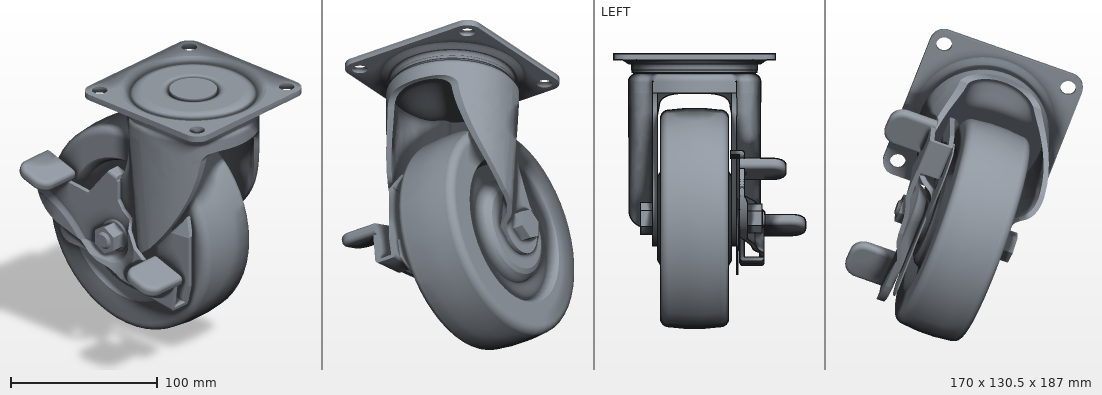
import cadquery as cq
import math


TOTAL_HEIGHT = 187.0
AXLE_OFFSET = 40.0
WHEEL_RADIUS = 75.0
AXLE_X = -AXLE_OFFSET
AXLE_Z = WHEEL_RADIUS
BOLT_RADIUS = 6.2

PLATE_SIDE = 110.0
PLATE_THICKNESS = 4.3
PLATE_CORNER = 10.0
HOLE_SPACING = 90.0
HOLE_DIAMETER = 10.7
DISH_TOP_RADIUS = 49.0
DISH_BOTTOM_RADIUS = 44.5
DISH_DROP = 2.8
RACE_RADIUS = 42.8
RACE_LIP_RADIUS = 42.5
RACE_LIP_TOP = 176.0
RACE_NECK_RADIUS = 41.5
RACE_NECK_TOP = 174.3
GROOVE_DEPTH = 3.5
OUTER_GROOVE_RIM_RADIUS = 49.7
OUTER_GROOVE_EDGE_RADIUS = 47.5
OUTER_GROOVE_EDGE_DROP = 0.7
OUTER_GROOVE_FLOOR_RADIUS = 43.2
DOME_FLAT_RADIUS = 35.3
INNER_GROOVE_RIM_RADIUS = 23.0
BUTTON_RADIUS = 16.3

WHEEL_HALF_WIDTH = 23.2
TREAD_HALF_WIDTH = 17.2
TREAD_EDGE_RADIUS = 73.7
FACE_RADIUS = 67.7
RECESS_RIM_RADIUS = 52.0
RECESS_FLOOR_RADIUS = 47.7
RECESS_DEPTH = 7.1
RECESS_LIP = 1.0
HUB_BASE_RADIUS = 36.0
HUB_NECK_RADIUS = 31.8
HUB_END_RADIUS = 28.5
HUB_HALF_WIDTH = 25.0

SHEET = 3.5
FORK_RADIUS = 45.0
CROWN_TOP = 173.3
CROWN_BOTTOM = 160.0
CROWN_EDGE_FILLET = 5.6
CROWN_FRONT_ANGLE = 36.0
LEG_INNER_Y = HUB_HALF_WIDTH
LEG_OUTER_Y = LEG_INNER_Y + SHEET
LEG_EYE_RADIUS = 18.7
FORK_FRONT_X = -67.3
FORK_TIP = (0.0, 81.3)
SECTION_LOW_Z = 46.7
BEND_START_LOW_X = -23.7
BEND_START_HIGH_X = -35.2
CREST_LOW_X = 3.7
CREST_HIGH_X = -8.6
BEND_KNEE_RUN = 0.37
BEND_KNEE_RISE = 0.55

SPRING_SHEET = 1.0
SPRING_Y = -LEG_OUTER_Y
DIMPLE_X = -86.0
DIMPLE_Z = 61.3
DIMPLE_RADIUS = 9.5
DIMPLE_HEIGHT = 1.0

LEVER_SHEET = 3.2
LEVER_INNER_Y = -30.7
LEVER_OUTER_Y = LEVER_INNER_Y - LEVER_SHEET
WALL_OUTER_Y = -47.3
LOW_CORNER = (24.0, 45.0)
WALL_RIGHT_X = 26.7
JOGGLE_START_RADIUS = 12.5
JOGGLE_BEND_RADIUS = 17.8
JOGGLE_END_RADIUS = 28.6
JOGGLE_BEND_RISE = 7.3
EMBOSS_HEIGHT = 2.0
EMBOSS_BEVEL = 4.1
WEB_BEND = 2.5
TOOTH_BEND = 2.5
TOOTH_END_Y = -24.3
FRONT_PEDAL_CENTER = (-94.8, 108.6)
FRONT_PEDAL_END_Y = -62.3
REAR_PEDAL_CENTER = (16.5, 70.5)
REAR_PEDAL_END_Y = -75.5
PEDAL_LENGTH = 28.2
PEDAL_THICKNESS = 7.9
PEDAL_TILT = 18.0
PEDAL_CORNER = 10.1
PEDAL_ROUND = 3.0

HEAD_CORNER_RADIUS = 10.8
HEAD_HEIGHT = 8.0
NUT_CORNER_RADIUS = 10.0
WASHER_RADIUS = 11.2
WASHER_THICKNESS = 2.0
NUT_END_Y = -45.8
BOLT_END_Y = -47.7
BOLT_END_CHAMFER = 1.7


def side_plane(y):
    """Workplane facing -Y at the given Y; its local axes are X and Z."""
    return cq.Workplane("XZ", origin=(0, y, 0))


def slab(points, y_start, y_end):
    """Straight-sided sheet outlined in X and Z between two Y positions (y_end < y_start)."""
    return side_plane(y_start).polyline(points).close().extrude(y_start - y_end)


def axle_cylinder(radius, y_start, y_end):
    return side_plane(y_start).center(AXLE_X, AXLE_Z).circle(radius).extrude(y_start - y_end)


def axle_hexagon(corner_radius, y_start, y_end):
    angles = [i * math.pi / 3 for i in range(6)]
    corners = [(AXLE_X + corner_radius * math.sin(a), AXLE_Z + corner_radius * math.cos(a)) for a in angles]
    return slab(corners, y_start, y_end)


def spin_about_axle(profile):
    """Revolve a closed (radius, Y) profile about the axle."""
    return profile.revolve(360, (0, 0, 0), (0, 1, 0)).translate((AXLE_X, 0, AXLE_Z))


def axle_bore():
    return axle_cylinder(BOLT_RADIUS, WHEEL_RADIUS, -WHEEL_RADIUS)


def make_plate():
    top = TOTAL_HEIGHT
    under = top - PLATE_THICKNESS
    dish_bottom = under - DISH_DROP
    sheet = (
        cq.Workplane("XY", origin=(0, 0, under))
        .rect(PLATE_SIDE, PLATE_SIDE)
        .extrude(PLATE_THICKNESS)
        .edges("|Z")
        .fillet(PLATE_CORNER)
        .faces(">Z")
        .workplane()
        .rect(HOLE_SPACING, HOLE_SPACING, forConstruction=True)
        .vertices()
        .hole(HOLE_DIAMETER)
    )
    race = (
        cq.Workplane("XZ")
        .polyline(
            [
                (0, CROWN_TOP),
                (RACE_NECK_RADIUS, CROWN_TOP),
                (RACE_NECK_RADIUS, RACE_NECK_TOP),
                (RACE_LIP_RADIUS, RACE_NECK_TOP),
                (RACE_LIP_RADIUS, RACE_LIP_TOP),
                (RACE_RADIUS, RACE_LIP_TOP),
                (RACE_RADIUS, dish_bottom),
                (DISH_BOTTOM_RADIUS, dish_bottom),
                (DISH_TOP_RADIUS, under),
                (0, under),
            ]
        )
        .close()
        .revolve(360, (0, 0, 0), (0, 1, 0))
    )
    return sheet.union(race).cut(plate_grooves())


def plate_grooves():
    """Two ring grooves pressed into the top: a wide outer one and one round the centre button."""
    top = TOTAL_HEIGHT
    floor = top - GROOVE_DEPTH
    outer = (
        cq.Workplane("XZ")
        .moveTo(OUTER_GROOVE_RIM_RADIUS, top)
        .lineTo(OUTER_GROOVE_EDGE_RADIUS, top - OUTER_GROOVE_EDGE_DROP)
        .lineTo(OUTER_GROOVE_FLOOR_RADIUS, floor)
        .threePointArc((39.3, top - 1.0), (DOME_FLAT_RADIUS, top))
        .close()
        .revolve(360, (0, 0, 0), (0, 1, 0))
    )
    inner = (
        cq.Workplane("XZ")
        .moveTo(INNER_GROOVE_RIM_RADIUS, top)
        .threePointArc((18.3, top - 1.3), (BUTTON_RADIUS, floor))
        .lineTo(BUTTON_RADIUS, top)
        .close()
        .revolve(360, (0, 0, 0), (0, 1, 0))
    )
    return outer.union(inner)


def make_wheel():
    recess_floor = WHEEL_HALF_WIDTH - RECESS_DEPTH
    shoulder = (72.2, 21.3)
    profile = (
        cq.Workplane("XY")
        .moveTo(BOLT_RADIUS, -HUB_HALF_WIDTH)
        .lineTo(HUB_END_RADIUS, -HUB_HALF_WIDTH)
        .lineTo(HUB_NECK_RADIUS, -WHEEL_HALF_WIDTH)
        .lineTo(HUB_BASE_RADIUS, -recess_floor)
        .lineTo(RECESS_FLOOR_RADIUS, -recess_floor)
        .lineTo(RECESS_RIM_RADIUS - RECESS_LIP, RECESS_LIP - WHEEL_HALF_WIDTH)
        .lineTo(RECESS_RIM_RADIUS, -WHEEL_HALF_WIDTH)
        .lineTo(FACE_RADIUS, -WHEEL_HALF_WIDTH)
        .threePointArc((shoulder[0], -shoulder[1]), (TREAD_EDGE_RADIUS, -TREAD_HALF_WIDTH))
        .threePointArc((WHEEL_RADIUS, 0), (TREAD_EDGE_RADIUS, TREAD_HALF_WIDTH))
        .threePointArc(shoulder, (FACE_RADIUS, WHEEL_HALF_WIDTH))
        .lineTo(RECESS_RIM_RADIUS, WHEEL_HALF_WIDTH)
        .lineTo(RECESS_RIM_RADIUS - RECESS_LIP, WHEEL_HALF_WIDTH - RECESS_LIP)
        .lineTo(RECESS_FLOOR_RADIUS, recess_floor)
        .lineTo(HUB_BASE_RADIUS, recess_floor)
        .lineTo(HUB_NECK_RADIUS, WHEEL_HALF_WIDTH)
        .lineTo(HUB_END_RADIUS, HUB_HALF_WIDTH)
        .lineTo(BOLT_RADIUS, HUB_HALF_WIDTH)
        .close()
    )
    return spin_about_axle(profile)


def leg_curve(sketch, bend_x, crest_x, inset):
    """From the flat -Y leg by an S-bend to its crest, round the rear and back to the +Y leg."""
    radius = FORK_RADIUS - inset
    flat_y = LEG_OUTER_Y - inset
    start_x = bend_x + inset / 2
    crest_y = math.sqrt(radius**2 - crest_x**2)
    knee_x = start_x + BEND_KNEE_RUN * (crest_x - start_x)
    knee_y = flat_y + BEND_KNEE_RISE * (crest_y - flat_y)
    return (
        sketch.lineTo(start_x, -flat_y)
        .spline(
            [(knee_x, -knee_y), (crest_x, -crest_y)],
            tangents=[(1, 0), (crest_y / radius, crest_x / radius)],
            includeCurrent=True,
        )
        .threePointArc((radius, 0), (crest_x, crest_y))
        .spline(
            [(knee_x, knee_y), (start_x, flat_y)],
            tangents=[(-crest_y / radius, crest_x / radius), (-1, 0)],
            includeCurrent=True,
        )
    )


def leg_section(z, bend_x, crest_x, inset):
    """Plan section of the legs: straight flats that reach forward, then the leg curve."""
    flat_y = LEG_OUTER_Y - inset
    sketch = cq.Workplane("XY", origin=(0, 0, z)).moveTo(FORK_FRONT_X, -flat_y)
    return leg_curve(sketch, bend_x, crest_x, inset).lineTo(FORK_FRONT_X, flat_y).close().val()


def leg_body(inset):
    """Body bounded by the leg sections, from below the eyes up to the crown."""
    low = leg_section(SECTION_LOW_Z, BEND_START_LOW_X, CREST_LOW_X, inset)
    high = leg_section(CROWN_BOTTOM, BEND_START_HIGH_X, CREST_HIGH_X, inset)
    return cq.Workplane(cq.Solid.makeLoft([low, high], True))


def crown_body(top_z, inset):
    """Upright body of the crown: a round front and the uppermost leg curve."""
    radius = FORK_RADIUS - inset
    angle = math.radians(CROWN_FRONT_ANGLE)
    corner_x = -radius * math.cos(angle)
    corner_y = radius * math.sin(angle)
    sketch = cq.Workplane("XY", origin=(0, 0, CROWN_BOTTOM)).moveTo(corner_x, -corner_y)
    curve = leg_curve(sketch, BEND_START_HIGH_X, CREST_HIGH_X, inset).lineTo(corner_x, corner_y)
    return curve.threePointArc((-radius, 0), (corner_x, -corner_y)).close().extrude(top_z - CROWN_BOTTOM)


def leg_outline():
    """Side outline of the legs: curved edges that run down to the round eye at the axle."""
    eye_left = (AXLE_X - 17.2, AXLE_Z + 7.3)
    eye_right = (AXLE_X + 13.0, AXLE_Z - 13.3)
    return (
        side_plane(PLATE_SIDE / 2)
        .moveTo(-35.5, CROWN_BOTTOM)
        .threePointArc((-33.7, 155.5), (-33.0, 150.2))
        .lineTo(-33.0, 144.0)
        .spline([(-37.5, 120.6), eye_left], tangents=[(0, -1), (-3.9, -9.2)], includeCurrent=True)
        .threePointArc((AXLE_X, AXLE_Z - LEG_EYE_RADIUS), eye_right)
        .lineTo(*FORK_TIP)
        .threePointArc((23.2, 113.9), (33.8, 151.5))
        .threePointArc((36.8, 158.0), (42.8, CROWN_BOTTOM))
        .close()
        .extrude(PLATE_SIDE)
    )


def make_fork():
    crown = crown_body(CROWN_TOP, 0).faces(">Z").edges().fillet(CROWN_EDGE_FILLET)
    crown = crown.cut(crown_body(CROWN_TOP - SHEET, SHEET))
    legs = leg_body(0).cut(leg_body(SHEET)).intersect(leg_outline())
    return crown.union(legs).cut(axle_bore())


def make_spring():
    """Strip with a round dimpled end in front, a hole for the bolt and a lobe at the rear."""
    lower_z = DIMPLE_Z - DIMPLE_RADIUS
    sheet = (
        side_plane(SPRING_Y)
        .moveTo(DIMPLE_X, lower_z)
        .lineTo(-31.6, lower_z)
        .lineTo(-31.6, 47.5)
        .threePointArc((-4.5, 36.8), (19.3, 43.4))
        .lineTo(22.5, 56.1)
        .lineTo(-25.2, 58.9)
        .lineTo(AXLE_X + 9.3, AXLE_Z + 11.2)
        .lineTo(AXLE_X, AXLE_Z + 13.0)
        .lineTo(DIMPLE_X, DIMPLE_Z + DIMPLE_RADIUS)
        .threePointArc((DIMPLE_X - DIMPLE_RADIUS, DIMPLE_Z), (DIMPLE_X, lower_z))
        .close()
        .extrude(SPRING_SHEET)
    )
    dimple = cq.Workplane(
        cq.Solid.makeCone(
            DIMPLE_RADIUS,
            0,
            DIMPLE_HEIGHT,
            pnt=cq.Vector(DIMPLE_X, SPRING_Y - SPRING_SHEET, DIMPLE_Z),
            dir=cq.Vector(0, -1, 0),
        )
    )
    return sheet.union(dimple).cut(axle_bore())


def lever_outline():
    """Side outline of the lever's front sheet, as a block thick enough for every level."""
    return (
        side_plane(LEVER_INNER_Y)
        .moveTo(-49.4, 118.5)
        .lineTo(-66.0, 98.2)
        .lineTo(-84.5, 100.0)
        .lineTo(-83.2, 104.3)
        .lineTo(-106.5, 111.8)
        .lineTo(-111.8, 96.3)
        .lineTo(-111.8, 90.7)
        .threePointArc((-104.9, 75.7), (-93.3, 67.7))
        .lineTo(-50.5, 55.2)
        .lineTo(-38.3, 53.9)
        .lineTo(*LOW_CORNER)
        .lineTo(WALL_RIGHT_X, 67.3)
        .lineTo(3.7, 73.9)
        .lineTo(1.0, 69.7)
        .lineTo(-34.4, 95.4)
        .lineTo(-38.7, 101.5)
        .lineTo(-38.7, 115.5)
        .close()
        .extrude(LEVER_INNER_Y - WALL_OUTER_Y)
    )


def joggled_sheet():
    """Endless sheet at base level up and left of the axle, raised below and right of it.

    The joggle runs straight above the axle and to its left, and turns the corner between as
    a quarter bowl centred on the axle.
    """
    reach = 112.2
    levels = [
        (0, LEVER_OUTER_Y),
        (JOGGLE_START_RADIUS, LEVER_OUTER_Y),
        (JOGGLE_BEND_RADIUS, LEVER_OUTER_Y - JOGGLE_BEND_RISE),
        (JOGGLE_END_RADIUS, WALL_OUTER_Y),
        (reach, WALL_OUTER_Y),
    ]
    profile = levels + [(distance, y + LEVER_SHEET) for distance, y in reversed(levels)]
    upright_profile = [(y, -distance) for distance, y in profile]
    quarter_bowl = cq.Workplane("XY").polyline(profile).close().revolve(90, (0, 0, 0), (0, 1, 0))
    upper_run = cq.Workplane("XY").polyline(profile).close().extrude(reach)
    left_run = cq.Workplane("YZ").polyline(upright_profile).close().extrude(-reach)
    base = slab([(0, 0), (-reach, 0), (-reach, reach), (0, reach)], LEVER_INNER_Y, LEVER_OUTER_Y)
    sheet = quarter_bowl.union(upper_run).union(left_run).union(base)
    return sheet.translate((AXLE_X, 0, AXLE_Z))


def emboss():
    """Raised pad at the free end, bevelled along its arched upper side."""
    bevel_angle = math.degrees(math.atan2(EMBOSS_BEVEL, EMBOSS_HEIGHT))
    return (
        side_plane(LEVER_OUTER_Y)
        .moveTo(-119.7, 92.0)
        .threePointArc((-87.0, 80.0), (-64.5, 57.0))
        .lineTo(-69.2, 46.7)
        .lineTo(-119.7, 46.7)
        .close()
        .extrude(EMBOSS_HEIGHT, taper=bevel_angle)
    )


def pedal(center, y_start, y_end):
    """Tilted foot pad with rounded edges, standing out along -Y."""
    length = y_start - y_end
    pad = (
        cq.Workplane("XY")
        .rect(PEDAL_LENGTH, 2 * length)
        .extrude(PEDAL_THICKNESS)
        .edges("|Z")
        .fillet(PEDAL_CORNER)
        .faces("<Z or >Z")
        .edges()
        .fillet(PEDAL_ROUND)
        .translate((0, 0, -PEDAL_THICKNESS / 2))
    )
    front_half = cq.Workplane("XY").box(PEDAL_LENGTH, length, PEDAL_THICKNESS).translate((0, -length / 2, 0))
    pad = pad.intersect(front_half).rotate((0, 0, 0), (0, 1, 0), PEDAL_TILT)
    return pad.translate((center[0], y_start, center[1]))


def upper_tooth():
    """Tab along the top edge, folded toward the wheel ahead of the fork leg."""
    tab = slab([(-47.3, 121.2), (-39.8, 119.0), (-39.8, 115.7), (-49.4, 118.5)], TOOTH_END_Y, LEVER_OUTER_Y)
    return tab.faces("<Y").edges(">Z").fillet(TOOTH_BEND)


def rear_tooth():
    """Pointed tab on top of the inner wall, leaning toward the wheel behind the fork leg."""
    tip_z = 106.5
    root_z = 93.3
    lean = 5.6
    outline = [(10.5, root_z), (WALL_RIGHT_X, 94.8), (24.7, 99.1), (20.2, tip_z), (18.1, 103.0)]
    shape = slab(outline, TOOTH_END_Y, LEVER_OUTER_Y)
    tilted_sheet = (
        cq.Workplane("YZ")
        .polyline(
            [
                (LEVER_INNER_Y, root_z),
                (LEVER_OUTER_Y, root_z),
                (LEVER_OUTER_Y + lean, tip_z),
                (LEVER_INNER_Y + lean, tip_z),
            ]
        )
        .close()
        .extrude(WALL_RIGHT_X)
    )
    return shape.intersect(tilted_sheet)


def channel():
    """Lower web folded under the fork, and the inner wall that rises behind the raised wall."""
    web = slab([(-1.7, 48.8), LOW_CORNER, (23.4, 42.8), (-1.7, 46.0)], LEVER_INNER_Y, WALL_OUTER_Y)
    lower_edges = [cq.NearestToPointSelector((10.8, y, 44.3)) for y in (LEVER_INNER_Y, WALL_OUTER_Y)]
    web = web.edges(lower_edges[0] + lower_edges[1]).fillet(WEB_BEND)
    wall_outline = [
        (-1.7, 48.8),
        (-1.7, 79.5),
        FORK_TIP,
        (10.5, 93.3),
        (WALL_RIGHT_X, 94.8),
        (WALL_RIGHT_X, 58.0),
        LOW_CORNER,
    ]
    inner_wall = slab(wall_outline, LEVER_INNER_Y, LEVER_OUTER_Y)
    return web.union(inner_wall)


def make_lever():
    outline = lever_outline()
    body = outline.intersect(joggled_sheet())
    body = body.union(outline.intersect(emboss()))
    body = body.union(upper_tooth())
    body = body.union(channel()).union(rear_tooth())
    body = body.union(pedal(FRONT_PEDAL_CENTER, LEVER_INNER_Y, FRONT_PEDAL_END_Y))
    body = body.union(pedal(REAR_PEDAL_CENTER, WALL_OUTER_Y + LEVER_SHEET, REAR_PEDAL_END_Y))
    return body.cut(axle_bore())


def make_axle():
    """Bolt with its head outside one leg, washer and nut outside the brake lever."""
    shank = axle_cylinder(BOLT_RADIUS, LEG_OUTER_Y, BOLT_END_Y).faces("<Y").chamfer(BOLT_END_CHAMFER)
    head = axle_hexagon(HEAD_CORNER_RADIUS, LEG_OUTER_Y + HEAD_HEIGHT, LEG_OUTER_Y)
    washer_end = LEVER_OUTER_Y - WASHER_THICKNESS
    washer = axle_cylinder(WASHER_RADIUS, LEVER_OUTER_Y, washer_end)
    nut = axle_hexagon(NUT_CORNER_RADIUS, washer_end, NUT_END_Y)
    return shank.union(head).union(washer).union(nut)


plate = make_plate()
wheel = make_wheel()
fork = make_fork()
spring = make_spring()
lever = make_lever()
axle = make_axle()

result = cq.Compound.makeCompound(
    [plate.val(), wheel.val(), fork.val(), spring.val(), lever.val(), axle.val()]
)